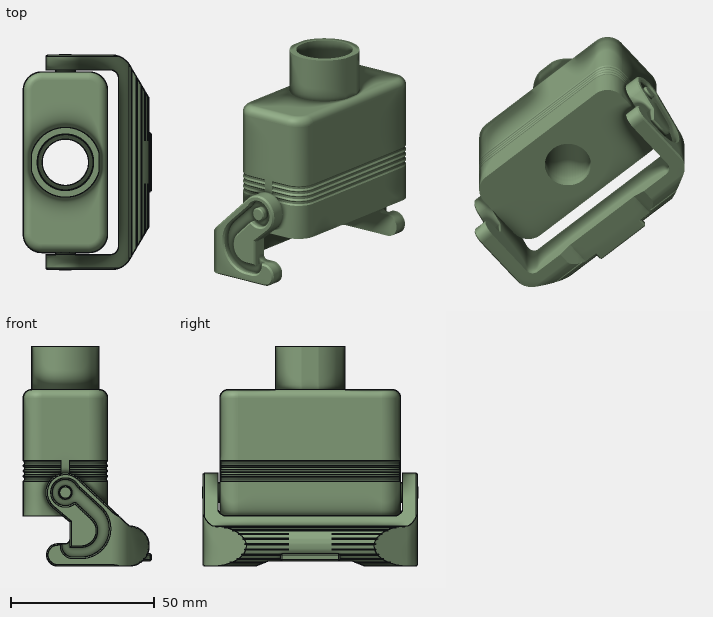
import cadquery as cq
import math

part_width = 44.7
part_height = 76.5

hood_width = 29.45
hood_length = 63.0
hood_bottom = 17.4
hood_top = 61.5
hood_corner_radius = 6.5
hood_top_radius = 3.0

neck_radius = 12.2
neck_flat_x = 11.8
bore_mouth_radius = 9.9
bore_seat_radius = 9.65
bore_depth = 13.1
passage_radius = 8.0

hood_groove_count = 4
hood_groove_pitch = 1.8
hood_groove_mouth = 1.7
hood_groove_floor = 0.7
hood_groove_depth = 0.45
hood_grooves_top = 36.8
groove_gap = 2.9

arm_outer_y = 37.4
arm_inner_y = 32.1
pivot_z = 25.6
pivot_radius = 6.8
hook_end_x = -2.7
slot_x = 1.5
slot_bottom = 7.8
slot_top = 15.4
slot_fillet = 1.6
arm_chamfer = 0.5

bar_inner_x = 18.4
bar_inner_fillet = 2.75
grip_x = 22.2
grip_top_z = 14.0
grip_radius = grip_top_z / 2
plan_corner_x = 20.3
plan_corner_radius = 7.35
plan_flat_half = 22.25
plan_left_x = -15.3

channel_depth = 2.7
channel_bend_x = 5.4
channel_outer_bend_z = 13
channel_inner_bend_z = 12.3
channel_outer_radius = 9.9
channel_inner_radius = 5.8
channel_back_offset = 4.3
channel_left = -1.2
channel_junction_fillet = 0.8
channel_pivot_radius = 4.6
channel_end_radius = 3.9
channel_top = slot_bottom + slot_fillet

pin_radius = 2.4
pin_end_y = 75.05 / 2
pin_chamfer = 0.4
washer_radius = 3.45

grip_groove_count = 10
grip_groove_first = 7
grip_groove_step = 15.5
grip_groove_half_angle = 3.8
grip_groove_depth = 0.3
patch_half = 7.6
patch_start_angle = 45

pad_end_x = part_width - hood_width / 2
pad_top = 4.4
pad_half = 10.3
pad_chamfer = 0.5
relief_height = 1.75
relief_bottom_half = 19.05
relief_top_half = 14.6


def circle_point(center, radius, angle):
    return (center[0] + radius * math.cos(angle), center[1] + radius * math.sin(angle))


def tangent_angle(center, radius, point, side):
    """Angle on a circle where a line from an outside point touches it; side is +1 or -1."""
    dx = point[0] - center[0]
    dz = point[1] - center[1]
    return math.atan2(dz, dx) + side * math.acos(radius / math.hypot(dx, dz))


def hood_outline(z):
    """The hood outline at height z, starting at the middle of the +X side."""
    x = hood_width / 2
    y = hood_length / 2
    r = hood_corner_radius
    d = r * (1 - math.sqrt(0.5))
    return (
        cq.Workplane("XY", origin=(0, 0, z))
        .moveTo(x, 0)
        .lineTo(x, y - r)
        .threePointArc((x - d, y - d), (x - r, y))
        .lineTo(r - x, y)
        .threePointArc((d - x, y - d), (-x, y - r))
        .lineTo(-x, r - y)
        .threePointArc((d - x, d - y), (r - x, -y))
        .lineTo(x - r, -y)
        .threePointArc((x - d, d - y), (x, r - y))
        .close()
    )


def hood_groove(top):
    """A band around the hood with sloping sides, left uncut at the middle of both ends."""
    middle = top - hood_groove_pitch / 2
    outer_x = hood_width / 2
    floor_x = outer_x - hood_groove_depth
    half_mouth = hood_groove_mouth / 2
    half_floor = hood_groove_floor / 2
    section = (
        cq.Workplane("XZ")
        .polyline(
            [
                (outer_x, middle + half_mouth),
                (floor_x, middle + half_floor),
                (floor_x, middle - half_floor),
                (outer_x, middle - half_mouth),
            ]
        )
        .close()
    )
    band = section.sweep(hood_outline(middle))
    gap = cq.Workplane("XY", origin=(0, 0, middle)).box(groove_gap, 2 * hood_length, 2 * hood_groove_pitch)
    return band.cut(gap)


def cable_neck():
    """Round neck with a narrow flat on its -X and +X sides."""
    start = hood_top - hood_top_radius
    neck = cq.Workplane("XY", origin=(0, 0, start)).circle(neck_radius).extrude(part_height - start)
    flats = cq.Workplane("XY").box(2 * neck_flat_x, 2 * neck_radius, 2 * part_height)
    return neck.intersect(flats)


def cable_bore():
    """Slightly tapered bore in the neck above a narrower passage through the hood."""
    seat_z = part_height - bore_depth
    return (
        cq.Workplane("XZ")
        .polyline(
            [
                (0, hood_bottom),
                (passage_radius, hood_bottom),
                (passage_radius, seat_z),
                (bore_seat_radius, seat_z),
                (bore_mouth_radius, part_height),
                (0, part_height),
            ]
        )
        .close()
        .revolve(360, (0, 0, 0), (0, 1, 0))
    )


def make_hood():
    hood = hood_outline(hood_bottom).extrude(hood_top - hood_bottom)
    hood = hood.faces(">Z").edges().fillet(hood_top_radius)
    for index in range(hood_groove_count):
        hood = hood.cut(hood_groove(hood_grooves_top - index * hood_groove_pitch))
    return hood.union(cable_neck()).cut(cable_bore())


pivot = (0, pivot_z)
grip_top = (grip_x, grip_top_z)
arm_back_angle = tangent_angle(pivot, pivot_radius, grip_top, 1)
arm_front_angle = tangent_angle(pivot, pivot_radius, (slot_x, slot_top), -1)


def arm_channel():
    """Round pocket at the pivot running down into a hooked channel, on the -Y arm."""
    plane = cq.Workplane("XZ", origin=(0, -arm_outer_y, 0))
    outer_bend = (channel_bend_x, channel_outer_bend_z)
    inner_bend = (channel_bend_x, channel_inner_bend_z)
    outer_start = circle_point(outer_bend, channel_outer_radius, arm_back_angle)
    inner_start = circle_point(inner_bend, channel_inner_radius, arm_back_angle)
    middle_angle = arm_back_angle / 2 - math.pi / 4
    bottom = channel_outer_bend_z - channel_outer_radius
    island_bottom = channel_inner_bend_z - channel_inner_radius
    end_center = (channel_left + channel_end_radius, bottom + channel_end_radius)
    end_middle = circle_point(end_center, channel_end_radius, math.radians(225))
    hooked = (
        plane.moveTo(*pivot)
        .lineTo(*circle_point(pivot, channel_back_offset, arm_back_angle))
        .lineTo(*outer_start)
        .threePointArc(circle_point(outer_bend, channel_outer_radius, middle_angle), (channel_bend_x, bottom))
        .lineTo(end_center[0], bottom)
        .threePointArc(end_middle, (channel_left, end_center[1]))
        .lineTo(channel_left, channel_top)
        .lineTo(slot_x, channel_top)
        .lineTo(slot_x, island_bottom)
        .lineTo(channel_bend_x, island_bottom)
        .threePointArc(circle_point(inner_bend, channel_inner_radius, middle_angle), inner_start)
        .close()
        .extrude(-channel_depth)
    )
    pocket = plane.center(*pivot).circle(channel_pivot_radius).extrude(-channel_depth)
    toward_island = math.atan2(inner_start[1] - pivot_z, inner_start[0])
    junction = circle_point(pivot, channel_pivot_radius, toward_island)
    junction_point = (junction[0], channel_depth / 2 - arm_outer_y, junction[1])
    junction_edge = cq.selectors.NearestToPointSelector(junction_point)
    return pocket.union(hooked).edges("|Y").edges(junction_edge).fillet(channel_junction_fillet)


def lever_side():
    """Side profile of the lever over its whole width, with the channels and chamfered outer edges."""
    channel = arm_channel()
    return (
        cq.Workplane("XZ", origin=(0, arm_outer_y, 0))
        .moveTo(hook_end_x, 0)
        .lineTo(grip_x, 0)
        .threePointArc((grip_x + grip_radius, grip_radius), grip_top)
        .lineTo(*circle_point(pivot, pivot_radius, arm_back_angle))
        .threePointArc((-pivot_radius, pivot_z), circle_point(pivot, pivot_radius, arm_front_angle))
        .lineTo(slot_x, slot_top)
        .lineTo(slot_x, slot_bottom)
        .lineTo(hook_end_x, slot_bottom)
        .threePointArc((hook_end_x - slot_bottom / 2, slot_bottom / 2), (hook_end_x, 0))
        .close()
        .extrude(2 * arm_outer_y)
        .edges(cq.selectors.NearestToPointSelector((slot_x, 0, slot_bottom)))
        .fillet(slot_fillet)
        .cut(channel)
        .cut(channel.mirror("XZ"))
        .faces("<Y or >Y")
        .edges()
        .chamfer(arm_chamfer)
    )


def lever_plan():
    """U-shaped plan of the lever with sloping outer corners."""
    flat_x = grip_x + grip_radius
    outer = (
        cq.Workplane("XY")
        .polyline(
            [
                (plan_left_x, -arm_outer_y),
                (plan_corner_x, -arm_outer_y),
                (flat_x, -plan_flat_half),
                (flat_x, plan_flat_half),
                (plan_corner_x, arm_outer_y),
                (plan_left_x, arm_outer_y),
            ]
        )
        .close()
        .extrude(part_height)
    )
    for side in (-1, 1):
        corner = cq.selectors.NearestToPointSelector((plan_corner_x, side * arm_outer_y, part_height / 2))
        outer = outer.edges(corner).fillet(plan_corner_radius)
    opening = (
        cq.Workplane("XY")
        .rect(2 * bar_inner_x, 2 * arm_inner_y)
        .extrude(part_height)
        .edges("|Z and >X")
        .fillet(bar_inner_fillet)
    )
    return outer.cut(opening)


def grip_groove(angle, half_length, y_center):
    """Triangular cutter along the bar; the angle is measured from +Z towards +X."""
    center = (grip_x, grip_radius)
    over = grip_radius + grip_groove_depth
    corners = [
        circle_point(center, over, math.radians(90 - angle + grip_groove_half_angle)),
        circle_point(center, grip_radius - grip_groove_depth, math.radians(90 - angle)),
        circle_point(center, over, math.radians(90 - angle - grip_groove_half_angle)),
    ]
    plane = cq.Workplane("XZ", origin=(0, y_center + half_length, 0))
    return plane.polyline(corners).close().extrude(2 * half_length)


def cut_grip(lever):
    """Groove the bar, leaving a smooth patch in the middle of its outer side."""
    side_half = (arm_outer_y - patch_half) / 2
    for index in range(grip_groove_count):
        angle = grip_groove_first + index * grip_groove_step
        if angle < patch_start_angle:
            lever = lever.cut(grip_groove(angle, arm_outer_y, 0))
        else:
            for side in (-1, 1):
                lever = lever.cut(grip_groove(angle, side_half, side * (patch_half + side_half)))
    return lever


def label_pad():
    return (
        cq.Workplane("XY", origin=(grip_x, -pad_half, relief_height))
        .box(pad_end_x - grip_x, 2 * pad_half, pad_top - relief_height, centered=False)
        .edges(">X or |X")
        .chamfer(pad_chamfer)
    )


def bar_relief():
    """Shallow clearance with sloping ends across the underside of the bar."""
    return (
        cq.Workplane("YZ")
        .polyline(
            [
                (-relief_bottom_half, 0),
                (-relief_top_half, relief_height),
                (relief_top_half, relief_height),
                (relief_bottom_half, 0),
            ]
        )
        .close()
        .extrude(part_height)
    )


def pivot_pin():
    """Pin and its spacing washer, from inside the hood out through the -Y arm."""
    root_y = hood_length / 2 - hood_corner_radius / 2
    plane = cq.Workplane("XZ", origin=(0, -root_y, pivot_z))
    pin = plane.circle(pin_radius).extrude(pin_end_y - root_y).faces("<Y").edges().chamfer(pin_chamfer)
    washer = plane.circle(washer_radius).extrude(arm_inner_y - root_y)
    return pin.union(washer)


lever = cut_grip(lever_side().intersect(lever_plan())).union(label_pad()).cut(bar_relief())
pin = pivot_pin()
result = make_hood().union(lever).union(pin).union(pin.mirror("XZ"))